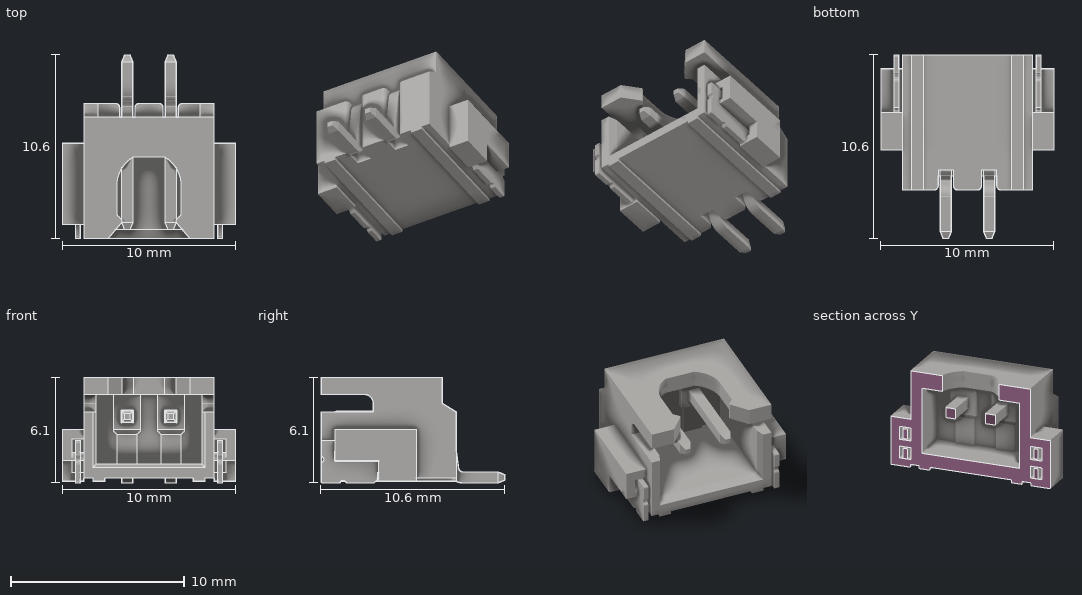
import cadquery as cq
import math


body_width = 7.5
body_top = 6.1
body_bottom = 0.28
upper_depth = 7.0
lower_depth = 7.8
back_slope_bottom = 4.1
back_slope_top = 4.6
back_slope_width = 0.8

foot_bottom = 0.1
foot_width = 0.7
foot_center_x = 2.89

cavity_width = 6.1
cavity_floor = 1.1
cavity_roof = 5.1
cavity_depth = 5.95
lead_in_depth = 0.52
lead_in_side = 0.18
lead_in_floor = 0.2

side_slot_floor = 4.1
side_slot_depth = 3.0
side_slot_radius = 0.5

latch_mouth_width = 4.72
latch_neck_width = 3.1
latch_neck_start = 0.95
latch_neck_end = 1.07
latch_radius = 1.85
latch_flat_width = 1.8
latch_end = 4.7
latch_arc_center = latch_end - math.sqrt(latch_radius**2 - (latch_flat_width / 2) ** 2)
latch_wide_start = latch_neck_end + latch_radius - latch_neck_width / 2

pin_pitch = 2.5
pin_size = 0.65
pin_height = 3.84
pin_front = 0.52
pin_back = 10.6
pin_tip_length = 0.41
pin_tip_size = 0.32
pin_inner_bend_radius = 0.25
pin_bend_radius = pin_inner_bend_radius + pin_size / 2
pin_leg_lean = math.radians(7.5)
pin_leg_foot_y = 7.68
pin_hole_size = 0.7

boss_center_x = 1.275
boss_width = 1.55
boss_column_width = 1.15
boss_front = 5.53
boss_column_front = 5.775
boss_slope_top = 3.08
boss_column_top = 2.8
boss_taper_top = boss_column_top + (boss_width - boss_column_width) / 2

tail_slot_width = 0.87
tail_slot_bottom_y = 6.65
tail_slot_roof = 4.2
tail_slot_corner_radius = 0.25

flange_width = 1.25
flange_front = 0.8
flange_back = 5.5
flange_top = 3.1
flange_notch_back = 3.32
flange_notch_top = 1.31
pocket_width = 0.7
pocket_back = 4.0
upper_pocket_bottom = 1.76
upper_pocket_top = 2.53
upper_pocket_lip_radius = 0.25
lower_pocket_bottom = 0.61

clip_thickness = 0.29
clip_center_x = 4.1
clip_top = 2.45
clip_upper_arm_bottom = 1.81
clip_lower_arm_top = 1.24
clip_gap_front = 0.77
clip_inner_radius = 0.1
clip_lower_arm_back = 3.25
clip_heel_chamfer = 0.2
clip_corner_radius = 0.1
clip_notch_radius = 0.16
clip_notch_lip_radius = 0.12
clip_front_notch_z = 1.36
clip_bottom_notch_y = 1.27


def box(x_range, y_range, z_range):
    """Axis-aligned block between the given limits."""
    size = [high - low for low, high in (x_range, y_range, z_range)]
    corner = cq.Vector(x_range[0], y_range[0], z_range[0])
    return cq.Workplane(cq.Solid.makeBox(*size, corner))


def centered(middle, width):
    """Limits of a span of the given width about its middle."""
    return (middle - width / 2, middle + width / 2)


def extrude_along_x(points, x_range):
    """Extrudes a closed (Y, Z) outline between two X positions."""
    outline = cq.Workplane("YZ", origin=(x_range[0], 0, 0)).polyline(points).close()
    return outline.extrude(x_range[1] - x_range[0])


def make_shell():
    profile = [
        (0, body_bottom),
        (lower_depth, body_bottom),
        (lower_depth, back_slope_bottom),
        (upper_depth, back_slope_top),
        (upper_depth, body_top),
        (0, body_top),
    ]
    shell = extrude_along_x(profile, centered(0, body_width))
    back_ledge_cut = box(
        centered(0, body_width - 2 * back_slope_width),
        (upper_depth, lower_depth),
        (back_slope_bottom, back_slope_top),
    )
    shell = shell.cut(back_ledge_cut)
    for side in (-1, 1):
        foot = box(
            centered(side * foot_center_x, foot_width), (0, lower_depth), (foot_bottom, body_bottom)
        )
        shell = shell.union(foot)
    return shell


def make_cavity():
    cavity = box(centered(0, cavity_width), (0, cavity_depth), (cavity_floor, cavity_roof))
    mouth_width = cavity_width + 2 * lead_in_side
    mouth_height = cavity_roof - cavity_floor + lead_in_floor
    throat_height = cavity_roof - cavity_floor
    lead_in = (
        cq.Workplane("XZ")
        .center(0, cavity_roof - mouth_height / 2)
        .rect(mouth_width, mouth_height)
        .workplane(offset=-lead_in_depth)
        .center(0, (mouth_height - throat_height) / 2)
        .rect(cavity_width, throat_height)
        .loft()
    )
    return cavity.union(lead_in)


def make_boss(x):
    outline = [
        (boss_width / 2, cavity_roof),
        (boss_width / 2, boss_taper_top),
        (boss_column_width / 2, boss_column_top),
        (boss_column_width / 2, cavity_floor),
    ]
    mirrored = [(-px, pz) for px, pz in reversed(outline)]
    face = cq.Workplane("XZ", origin=(x, boss_front, 0)).polyline(outline + mirrored).close()
    boss = face.extrude(boss_front - cavity_depth)
    side_profile = [
        (cavity_depth, cavity_floor),
        (boss_column_front, cavity_floor),
        (boss_column_front, boss_column_top),
        (boss_front, boss_slope_top),
        (boss_front, cavity_roof),
        (cavity_depth, cavity_roof),
    ]
    return boss.intersect(extrude_along_x(side_profile, centered(x, boss_width)))


def make_side_slot_cutter():
    slot = box(centered(0, body_width), (0, side_slot_depth), (side_slot_floor, cavity_roof))
    return slot.edges("|X and >Y and >Z").fillet(side_slot_radius)


def make_latch_opening():
    return (
        cq.Workplane("XY", origin=(0, 0, cavity_roof))
        .moveTo(-latch_mouth_width / 2, 0)
        .lineTo(-latch_neck_width / 2, latch_neck_start)
        .lineTo(-latch_neck_width / 2, latch_neck_end)
        .lineTo(-latch_radius, latch_wide_start)
        .lineTo(-latch_radius, latch_arc_center)
        .radiusArc((-latch_flat_width / 2, latch_end), latch_radius)
        .lineTo(latch_flat_width / 2, latch_end)
        .radiusArc((latch_radius, latch_arc_center), latch_radius)
        .lineTo(latch_radius, latch_wide_start)
        .lineTo(latch_neck_width / 2, latch_neck_end)
        .lineTo(latch_neck_width / 2, latch_neck_start)
        .lineTo(latch_mouth_width / 2, 0)
        .close()
        .extrude(body_top - cavity_roof)
    )


def add_flange(housing, side):
    """Adds the clip holder on one side (-1 or +1)."""
    inner = body_width / 2
    outer = inner + flange_width
    profile = [
        (flange_front, flange_notch_top),
        (flange_notch_back, flange_notch_top),
        (flange_notch_back, foot_bottom),
        (flange_back, foot_bottom),
        (flange_back, flange_top),
        (flange_front, flange_top),
    ]
    flange = extrude_along_x(profile, (inner, outer))
    pocket_x = (inner, inner + pocket_width)
    upper_pocket = box(
        pocket_x, (flange_front, pocket_back), (upper_pocket_bottom, upper_pocket_top)
    )
    lip = box(
        pocket_x,
        (flange_front, flange_front + upper_pocket_lip_radius),
        (upper_pocket_bottom - upper_pocket_lip_radius, upper_pocket_bottom),
    )
    lip_round = (
        cq.Workplane("YZ", origin=(inner, 0, 0))
        .center(
            flange_front + upper_pocket_lip_radius,
            upper_pocket_bottom - upper_pocket_lip_radius,
        )
        .circle(upper_pocket_lip_radius)
        .extrude(pocket_width)
    )
    lower_pocket = box(
        pocket_x, (flange_notch_back, pocket_back), (lower_pocket_bottom, flange_notch_top)
    )
    flange = flange.cut(upper_pocket).cut(lip.cut(lip_round)).cut(lower_pocket)
    if side < 0:
        flange = flange.mirror("YZ")
    return housing.union(flange)


def make_tail_slot(x):
    slot = box(
        centered(x, tail_slot_width), (tail_slot_bottom_y, lower_depth), (foot_bottom, tail_slot_roof)
    )
    for side in (-1, 1):
        edge_x = x + side * tail_slot_width / 2
        far_x = edge_x + side * tail_slot_corner_radius
        corner = box(
            (min(edge_x, far_x), max(edge_x, far_x)),
            (lower_depth - tail_slot_corner_radius, lower_depth),
            (foot_bottom, tail_slot_roof),
        )
        corner_round = (
            cq.Workplane("XY", origin=(far_x, lower_depth - tail_slot_corner_radius, foot_bottom))
            .circle(tail_slot_corner_radius)
            .extrude(tail_slot_roof - foot_bottom)
        )
        slot = slot.union(corner.cut(corner_round))
    return slot


def make_housing():
    housing = make_shell().cut(make_cavity())
    housing = housing.cut(make_side_slot_cutter()).cut(make_latch_opening())
    for side in (-1, 1):
        housing = housing.union(make_boss(side * boss_center_x))
        housing = add_flange(housing, side)
        pin_x = side * pin_pitch / 2
        pin_hole = box(
            centered(pin_x, pin_hole_size),
            (boss_front, tail_slot_bottom_y),
            centered(pin_height, pin_hole_size),
        )
        housing = housing.cut(pin_hole).cut(make_tail_slot(pin_x))
    return housing


def make_pin(x):
    """Square wire with a long leaning leg, a tail on the board and a taper at each end."""
    tail_height = pin_size / 2
    leg_top_y = pin_leg_foot_y - (pin_height - tail_height) * math.tan(pin_leg_lean)
    corners = [
        cq.Vector(x, pin_front + pin_tip_length, pin_height),
        cq.Vector(x, leg_top_y, pin_height),
        cq.Vector(x, pin_leg_foot_y, tail_height),
        cq.Vector(x, pin_back - pin_tip_length, tail_height),
    ]
    path = cq.Wire.makePolygon(corners)
    path = path.fillet(pin_bend_radius, path.Vertices()[1:-1])
    wire = (
        cq.Workplane("XZ", origin=corners[0].toTuple()).rect(pin_size, pin_size).sweep(path)
    )
    tips = [
        cq.Workplane("XZ", origin=root.toTuple())
        .rect(pin_size, pin_size)
        .workplane(offset=toward_front * pin_tip_length)
        .rect(pin_tip_size, pin_tip_size)
        .loft()
        for root, toward_front in ((corners[0], 1), (corners[-1], -1))
    ]
    return wire.union(tips[0]).union(tips[1])


def make_clip_notch(y, z, x_range):
    return (
        cq.Workplane("YZ", origin=(x_range[0], y, z))
        .circle(clip_notch_radius)
        .extrude(x_range[1] - x_range[0])
    )


def make_clip(x):
    """C-shaped plate: two arms grip the flange floor and the lower edge is soldered to the board."""
    x_range = centered(x, clip_thickness)
    profile = [
        (0, 0),
        (clip_lower_arm_back - clip_heel_chamfer, 0),
        (clip_lower_arm_back, clip_heel_chamfer),
        (clip_lower_arm_back, lower_pocket_bottom),
        (pocket_back, lower_pocket_bottom),
        (pocket_back, clip_lower_arm_top),
        (clip_gap_front, clip_lower_arm_top),
        (clip_gap_front, clip_upper_arm_bottom),
        (pocket_back, clip_upper_arm_bottom),
        (pocket_back, clip_top),
        (0, clip_top),
    ]
    clip = extrude_along_x(profile, x_range)
    clip = clip.edges("|X and <Y").fillet(clip_corner_radius)
    gap_corner = cq.selectors.NearestToPointSelector((x, clip_gap_front, clip_lower_arm_top))
    clip = clip.edges("|X").edges(gap_corner).fillet(clip_inner_radius)
    for notch_y, notch_z in ((0, clip_front_notch_z), (clip_bottom_notch_y, 0)):
        clip = clip.cut(make_clip_notch(notch_y, notch_z, x_range))
    return clip.edges(notch_lips(x)).fillet(clip_notch_lip_radius)


def notch_lips(x):
    """Selects the four edges where the round notches meet the clip outline."""
    lips = [
        (x, 0, clip_front_notch_z - clip_notch_radius),
        (x, 0, clip_front_notch_z + clip_notch_radius),
        (x, clip_bottom_notch_y - clip_notch_radius, 0),
        (x, clip_bottom_notch_y + clip_notch_radius, 0),
    ]
    selector = cq.selectors.NearestToPointSelector(lips[0])
    for lip in lips[1:]:
        selector = selector + cq.selectors.NearestToPointSelector(lip)
    return selector


housing = make_housing()
pins = [make_pin(side * pin_pitch / 2) for side in (-1, 1)]
clips = [make_clip(side * clip_center_x) for side in (-1, 1)]

result = cq.Compound.makeCompound([housing.val(), *[body.val() for body in pins + clips]])